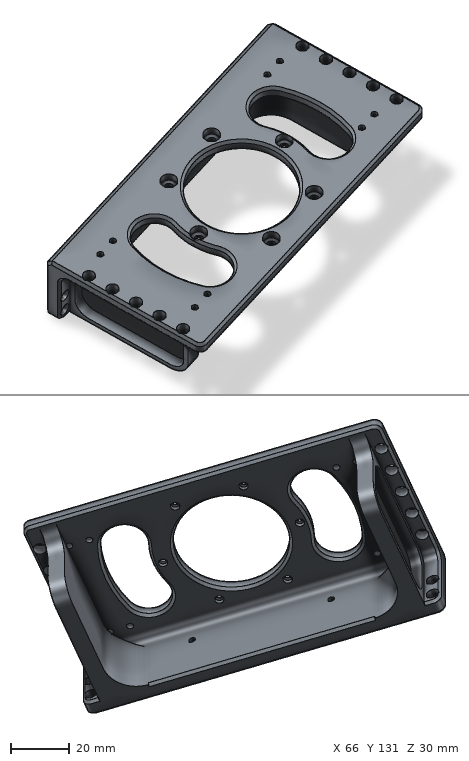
import cadquery as cq
import math

length = 131.0
width = 66.0
height = 30.0

plate_thickness = 5.0
wall_thickness = 6.0
inner_corner_radius = 4.0
outer_corner_radius = 3.0
spine_chamfer = 2.1
edge_chamfer = 1.0

web_outer_inset = 6.0
web_thickness = 6.0
web_reach = 56.0
web_corner_radius = 8.0
web_root_radius = 8.0
web_wall_radius = 12.0
pocket_margin = 2.0
pocket_depth = 4.0

bore_x = 35.5
bore_diameter = 40.0
screw_circle_radius = 25.0
screw_count = 6
screw_hole_diameter = 3.1
counterbore_diameter = 6.0
counterbore_depth = 3.4

window_mid_radius = 36.7
window_half_width = 8.3
window_end_offset = 11.8

end_hole_inset = 3.0
end_hole_diameter = 4.5
end_hole_count = 5
end_hole_pitch = 10.0
end_hole_middle_x = 36.0
wall_end_hole_heights = (4.3, 11.9)

small_hole_diameter = 2.4
plate_hole_columns = (13.8, 53.7)
plate_hole_insets = (13.0, 20.3)
wall_hole_spacing = 50.8
wall_hole_height = 17.7

plate_bottom = height - plate_thickness
half_length = length / 2
pocket_length = web_reach - wall_thickness - 2 * pocket_margin
pocket_height = plate_bottom - 2 * pocket_margin
pocket_radius = web_corner_radius - pocket_margin


def make_shell():
    """L-section with rounded outer corners, a chamfered spine and chamfered rims."""
    shell = cq.Workplane("XY").box(width, length, height, centered=(False, True, False))
    shell = shell.edges("|Z and >X").fillet(outer_corner_radius)
    cavity = (
        cq.Workplane("XY")
        .box(width, length, plate_bottom, centered=(False, True, False))
        .translate((wall_thickness, 0, 0))
    )
    cavity = cavity.edges("|Y and <X and >Z").fillet(inner_corner_radius)
    shell = shell.cut(cavity)
    shell = shell.edges("|X and <Z").edges("<Y or >Y").fillet(outer_corner_radius)
    shell = shell.edges("|Y and <X and >Z").chamfer(spine_chamfer)
    return shell.faces("<Y or >Y").edges("not(>X or <Z)").chamfer(edge_chamfer)


def make_web():
    """Web at the -Y end with a rounded shallow pocket in its outer face."""
    outer_face = -half_length + web_outer_inset
    web = (
        cq.Workplane("XY")
        .box(web_reach - edge_chamfer, web_thickness, plate_bottom, centered=False)
        .translate((edge_chamfer, outer_face, 0))
    )
    web = web.edges("|Y and >X and <Z").fillet(web_corner_radius)
    pocket = (
        cq.Workplane("XY")
        .box(pocket_length, pocket_depth, pocket_height, centered=False)
        .edges("|Y")
        .fillet(pocket_radius)
        .translate((wall_thickness + pocket_margin, outer_face, pocket_margin))
    )
    inner_face = outer_face + web_thickness
    blend_end = inner_face + web_wall_radius
    arc_step = web_wall_radius * (1 - math.sqrt(0.5))
    blend = (
        cq.Workplane("XY")
        .moveTo(wall_thickness - edge_chamfer, inner_face)
        .lineTo(wall_thickness - edge_chamfer, blend_end)
        .lineTo(wall_thickness, blend_end)
        .threePointArc(
            (wall_thickness + arc_step, inner_face + arc_step),
            (wall_thickness + web_wall_radius, inner_face),
        )
        .close()
        .extrude(plate_bottom)
    )
    return web.cut(pocket).union(blend)


def add_webs(body):
    """Join both webs and blend them into the plate and the wall."""
    web = make_web()
    body = body.union(web).union(web.mirror("XZ"))
    for side in (-1, 1):
        web_middle = side * (half_length - web_outer_inset - web_thickness / 2)
        plate_root = cq.selectors.NearestToPointSelector((web_reach, web_middle, plate_bottom))
        body = body.edges(plate_root).fillet(web_root_radius)
    return body


def make_window():
    """Kidney opening on the +Y side of the bore, bounded by four tangent arcs."""
    end_angle = math.asin(window_end_offset / window_mid_radius)

    def polar(radius, angle):
        return (bore_x + radius * math.sin(angle), radius * math.cos(angle))

    inner = window_mid_radius - window_half_width
    outer = window_mid_radius + window_half_width
    end_center = polar(window_mid_radius, end_angle)
    tip_angle = end_angle + math.pi / 2
    tip_right = (
        end_center[0] + window_half_width * math.sin(tip_angle),
        end_center[1] + window_half_width * math.cos(tip_angle),
    )
    tip_left = (2 * bore_x - tip_right[0], tip_right[1])
    return (
        cq.Workplane("XY", origin=(0, 0, plate_bottom))
        .moveTo(*polar(outer, -end_angle))
        .threePointArc(polar(outer, 0), polar(outer, end_angle))
        .threePointArc(tip_right, polar(inner, end_angle))
        .threePointArc(polar(inner, 0), polar(inner, -end_angle))
        .threePointArc(tip_left, polar(outer, -end_angle))
        .close()
        .extrude(plate_thickness)
    )


def plate_holes(points, diameter):
    """Cylinders through the plate only."""
    plane = cq.Workplane("XY", origin=(0, 0, plate_bottom))
    return plane.pushPoints(points).circle(diameter / 2).extrude(plate_thickness)


def wall_holes(points, diameter):
    """Cylinders through the wall only, at (Y, Z) points."""
    return cq.Workplane("YZ").pushPoints(points).circle(diameter / 2).extrude(wall_thickness)


result = add_webs(make_shell())

bore = plate_holes([(bore_x, 0)], bore_diameter)
window = make_window()
result = result.cut(bore).cut(window).cut(window.mirror("XZ"))
opening_reach = window_mid_radius + window_half_width + edge_chamfer
opening_zone = cq.selectors.BoxSelector(
    (wall_thickness, -opening_reach, plate_bottom - edge_chamfer),
    (web_reach, opening_reach, height + edge_chamfer),
)
opening_rims = result.edges(opening_zone).edges("%CIRCLE")
result = opening_rims.chamfer(edge_chamfer)

screw_angles = [math.pi / 2 + 2 * math.pi * i / screw_count for i in range(screw_count)]
screw_points = [
    (bore_x + screw_circle_radius * math.cos(a), screw_circle_radius * math.sin(a)) for a in screw_angles
]
counterbores = (
    cq.Workplane("XY", origin=(0, 0, height))
    .pushPoints(screw_points)
    .circle(counterbore_diameter / 2)
    .extrude(-counterbore_depth)
)
result = result.cut(plate_holes(screw_points, screw_hole_diameter)).cut(counterbores)

end_hole_y = half_length - end_hole_inset
first_hole_x = end_hole_middle_x - end_hole_pitch * (end_hole_count - 1) / 2
row_xs = [first_hole_x + end_hole_pitch * i for i in range(end_hole_count)]
row_points = [(x, side * end_hole_y) for x in row_xs for side in (-1, 1)]
result = result.cut(plate_holes(row_points, end_hole_diameter))
wall_end_points = [(side * end_hole_y, z) for z in wall_end_hole_heights for side in (-1, 1)]
result = result.cut(wall_holes(wall_end_points, end_hole_diameter))

small_points = [
    (x, side * (half_length - inset))
    for x in plate_hole_columns
    for inset in plate_hole_insets
    for side in (-1, 1)
]
result = result.cut(plate_holes(small_points, small_hole_diameter))
wall_points = [(side * wall_hole_spacing / 2, wall_hole_height) for side in (-1, 1)]
result = result.cut(wall_holes(wall_points, small_hole_diameter))